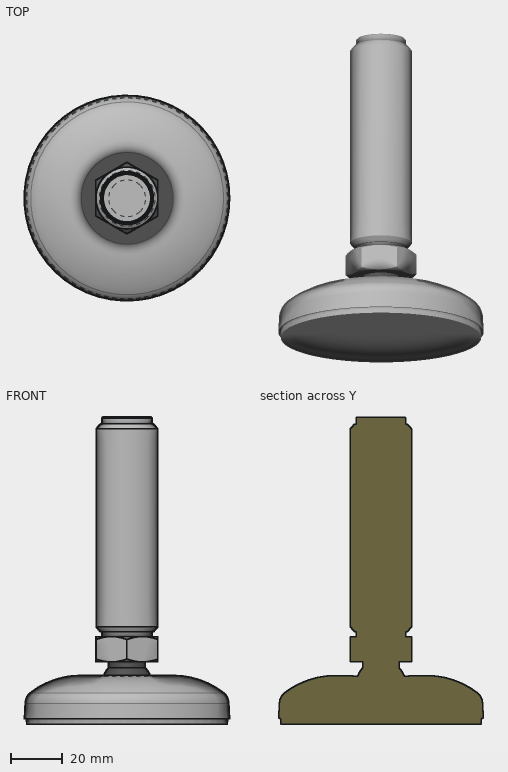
import cadquery as cq
import math


total_height = 119.2

pad_diameter = 78.2
pad_bottom_diameter = 77.8
pad_height = 2.2
rim_diameter = 79.66
rim_taper = math.radians(3)
base_height = 19.0
base_flat_diameter = 35.6
dome_radius = 32.0
knuckle_radius = 5.5

recess_diameter = 21.6
recess_depth = 0.35

ball_diameter = 19.5
neck_diameter = 14.3
ball_top = 21.9

hex_across_flats = 24.0
hex_bottom = 24.2
hex_height = 9.8
hex_chamfer_angle = math.radians(30)

stud_diameter = 24.0
stud_root_diameter = 20.5
stud_bottom = 35.8
stud_chamfer_height = 2.0
tip_diameter = 19.5
tip_height = 2.7
tip_chamfer = 0.5

hex_top = hex_bottom + hex_height
ball_center = ball_top - math.sqrt((ball_diameter / 2) ** 2 - (neck_diameter / 2) ** 2)


def polar(center, radius, angle):
    """Point at a radius and an angle above the radial direction."""
    return (center[0] + radius * math.cos(angle), center[1] + radius * math.sin(angle))


def make_base():
    """Slightly tapered pad, tapered rim and a dome blended into the rim by a tangent knuckle arc."""
    flat_radius = base_flat_diameter / 2
    rim_radius = rim_diameter / 2
    dome_center = (flat_radius, base_height - dome_radius)

    center_distance = dome_radius - knuckle_radius
    rim_offset = (rim_radius - dome_center[0]) * math.cos(rim_taper)
    rim_offset += (pad_height - dome_center[1]) * math.sin(rim_taper)
    blend_angle = rim_taper + math.acos((rim_offset - knuckle_radius) / center_distance)

    knuckle_center = polar(dome_center, center_distance, blend_angle)
    knuckle_start = polar(knuckle_center, knuckle_radius, rim_taper)
    knuckle_middle = polar(knuckle_center, knuckle_radius, (rim_taper + blend_angle) / 2)
    dome_end = polar(dome_center, dome_radius, blend_angle)
    dome_middle = polar(dome_center, dome_radius, (blend_angle + math.pi / 2) / 2)

    return (
        cq.Workplane("XZ")
        .lineTo(pad_bottom_diameter / 2, 0)
        .lineTo(pad_diameter / 2, pad_height)
        .lineTo(rim_radius, pad_height)
        .lineTo(*knuckle_start)
        .threePointArc(knuckle_middle, dome_end)
        .threePointArc(dome_middle, (flat_radius, base_height))
        .lineTo(0, base_height)
        .close()
        .revolve(360, (0, 0, 0), (0, 1, 0))
    )


def make_recess():
    """Shallow round recess from which the ball emerges."""
    return (
        cq.Workplane("XY", origin=(0, 0, base_height - recess_depth))
        .circle(recess_diameter / 2)
        .extrude(recess_depth)
    )


def make_ball_and_neck():
    """Ball seated in the base, with the neck that carries the hexagon."""
    ball = cq.Workplane("XY", origin=(0, 0, ball_center)).sphere(ball_diameter / 2)
    neck = (
        cq.Workplane("XY", origin=(0, 0, ball_center))
        .circle(neck_diameter / 2)
        .extrude(hex_bottom - ball_center)
    )
    return ball.union(neck)


def make_hexagon():
    """Hexagon with two corners on the Y axis, its corners bevelled at both ends."""
    corner_radius = hex_across_flats / math.sqrt(3)
    flat_radius = hex_across_flats / 2
    bevel_height = (corner_radius - flat_radius) * math.tan(hex_chamfer_angle)
    prism = (
        cq.Workplane("XY", origin=(0, 0, hex_bottom))
        .polygon(6, 2 * corner_radius)
        .extrude(hex_height)
        .rotate((0, 0, 0), (0, 0, 1), 90)
    )
    bevel_envelope = (
        cq.Workplane("XZ")
        .moveTo(0, hex_bottom)
        .lineTo(flat_radius, hex_bottom)
        .lineTo(corner_radius, hex_bottom + bevel_height)
        .lineTo(corner_radius, hex_top - bevel_height)
        .lineTo(flat_radius, hex_top)
        .lineTo(0, hex_top)
        .close()
        .revolve(360, (0, 0, 0), (0, 1, 0))
    )
    return prism.intersect(bevel_envelope)


def make_stud():
    """Plain stud with bevelled ends, an undercut above the hexagon and a narrower tip."""
    tip_radius = tip_diameter / 2
    root_radius = stud_root_diameter / 2
    stud_radius = stud_diameter / 2
    stud_top = total_height - tip_height
    return (
        cq.Workplane("XZ")
        .moveTo(0, hex_top)
        .lineTo(tip_radius, hex_top)
        .lineTo(tip_radius, stud_bottom)
        .lineTo(root_radius, stud_bottom)
        .lineTo(stud_radius, stud_bottom + stud_chamfer_height)
        .lineTo(stud_radius, stud_top - stud_chamfer_height)
        .lineTo(root_radius, stud_top)
        .lineTo(tip_radius, stud_top)
        .lineTo(tip_radius, total_height - tip_chamfer)
        .lineTo(tip_radius - tip_chamfer, total_height)
        .lineTo(0, total_height)
        .close()
        .revolve(360, (0, 0, 0), (0, 1, 0))
    )


result = make_base().cut(make_recess())
result = result.union(make_ball_and_neck()).union(make_hexagon()).union(make_stud())